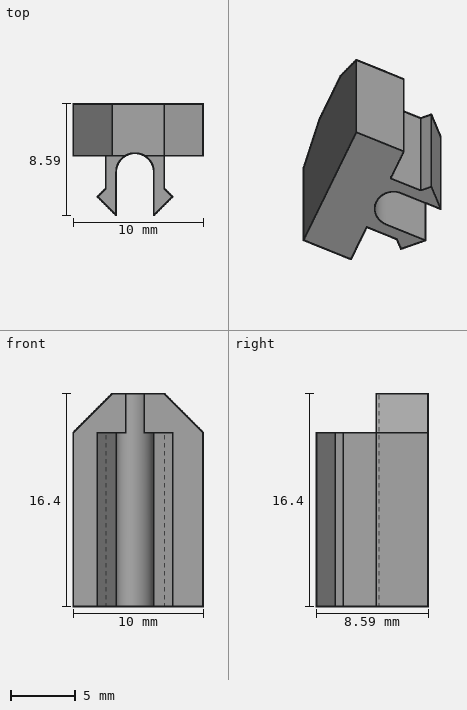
import cadquery as cq

height = 16.4
block_width = 10.0
block_depth = 4.0
corner_cut = 3.0

total_depth = 8.6
clip_center_x = -0.25
clip_height = height - corner_cut
slot_radius = 1.45
wall = 0.82
barb_run = 1.45
barb_overhang = 0.62
groove_depth = 0.2

front_y = -block_depth
tip_y = -total_depth
slot_center_y = front_y + groove_depth - slot_radius


def make_block():
    """Full-height block, back face on Y = 0, with both top corners cut at 45 degrees."""
    block = cq.Workplane("XY").box(block_width, block_depth, height, centered=(True, False, False))
    block = block.translate((0, front_y, 0))
    return block.faces(">Z").edges("|Y").chamfer(corner_cut)


def make_clip():
    """Solid clip profile with a barb on each side, before the slot is cut."""
    stem_x = slot_radius + wall
    barb_x = stem_x + barb_overhang
    barb_y = tip_y + barb_run
    right_side = [
        (stem_x, front_y),
        (stem_x, barb_y + barb_overhang),
        (barb_x, barb_y),
        (barb_x - barb_run, tip_y),
    ]
    left_side = [(-x, y) for x, y in reversed(right_side)]
    clip = cq.Workplane("XY").polyline(right_side + left_side).close().extrude(clip_height)
    return clip.translate((clip_center_x, 0, 0))


def make_slot():
    """Round-bottomed slot, open at the barb tips, running the full height."""
    slot = (
        cq.Workplane("XY")
        .moveTo(-slot_radius, tip_y)
        .lineTo(-slot_radius, slot_center_y)
        .threePointArc((0, slot_center_y + slot_radius), (slot_radius, slot_center_y))
        .lineTo(slot_radius, tip_y)
        .close()
        .extrude(height)
    )
    return slot.translate((clip_center_x, 0, 0))


result = make_block().union(make_clip()).cut(make_slot())